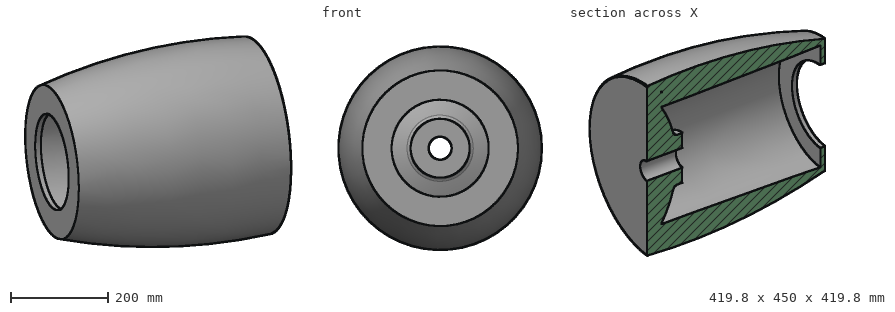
import cadquery as cq
import math

LENGTH = 450.0

FRONT_RADIUS = 160.0
WIDEST_RADIUS = 209.92
WIDEST_Y = 346.5
BACK_EDGE_CHAMFER = 2.0

MOUTH_RADIUS = 100.0
LIP_THICKNESS = 12.5
CAVITY_FRONT_RADIUS = 146.5
CAVITY_BACK_RADIUS = 141.5

DOME_RADIUS = 274.5
DOME_TOP_Y = 373.5

BOSS_RADIUS = 60.8
BOSS_HEIGHT = 13.5
BOSS_FILLET = 10.0
HOLE_RADIUS = 23.5


def turn(profile):
    """Revolve a profile (X = radius, Y = position along the axis) about the Y axis."""
    return profile.close().revolve(360, (0, 0, 0), (0, 1, 0))


front_inset = WIDEST_RADIUS - FRONT_RADIUS
barrel_arc_radius = (WIDEST_Y**2 + front_inset**2) / (2 * front_inset)


def barrel_radius(y):
    """Outside radius at a position along the axis."""
    rise = math.sqrt(barrel_arc_radius**2 - (y - WIDEST_Y) ** 2)
    return WIDEST_RADIUS - barrel_arc_radius + rise


def dome_y(radius):
    """Position of the domed floor at a distance from the axis."""
    return DOME_TOP_Y + DOME_RADIUS - math.sqrt(DOME_RADIUS**2 - radius**2)


def make_body():
    profile = (
        cq.Workplane("XY")
        .lineTo(FRONT_RADIUS, 0)
        .threePointArc((barrel_radius(LENGTH / 2), LENGTH / 2), (barrel_radius(LENGTH), LENGTH))
        .lineTo(0, LENGTH)
    )
    return turn(profile).faces(">Y").edges().chamfer(BACK_EDGE_CHAMFER)


def make_cavity():
    """Space behind the mouth: a slightly tapered bore closed by the domed floor."""
    dome_mid_radius = CAVITY_BACK_RADIUS / 2
    profile = (
        cq.Workplane("XY")
        .lineTo(MOUTH_RADIUS, 0)
        .lineTo(MOUTH_RADIUS, LIP_THICKNESS)
        .lineTo(CAVITY_FRONT_RADIUS, LIP_THICKNESS)
        .lineTo(CAVITY_BACK_RADIUS, dome_y(CAVITY_BACK_RADIUS))
        .threePointArc((dome_mid_radius, dome_y(dome_mid_radius)), (0, DOME_TOP_Y))
    )
    return turn(profile)


def y_cylinder(radius, start, end):
    return cq.Workplane("XZ", origin=(0, start, 0)).circle(radius).extrude(start - end)


def add_boss(part):
    """Add the floor boss and round the corner where it meets the dome."""
    boss = y_cylinder(BOSS_RADIUS, DOME_TOP_Y - BOSS_HEIGHT, LENGTH)
    part = part.union(boss)
    root = dome_y(BOSS_RADIUS)
    reach = BOSS_RADIUS + BOSS_FILLET
    root_box = cq.selectors.BoxSelector(
        (-reach, root - BOSS_FILLET / 2, -reach),
        (reach, root + BOSS_FILLET / 2, reach),
        boundingbox=True,
    )
    return part.edges(root_box).fillet(BOSS_FILLET)


hole = y_cylinder(HOLE_RADIUS, 0, LENGTH)
result = add_boss(make_body().cut(make_cavity())).cut(hole)